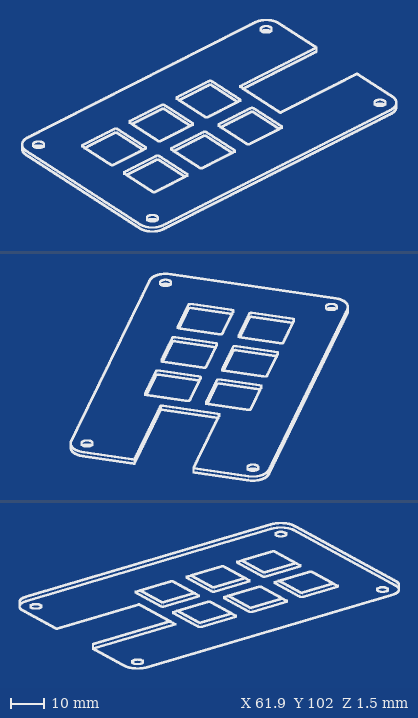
import cadquery as cq

width = 61.9
length = 102.0
thickness = 1.5
corner_radius = 5.0

hole_diameter = 3.4
hole_spacing_x = width - 2 * corner_radius
hole_spacing_y = length - 2 * corner_radius

notch_width = 18.5
notch_depth = 31.0
notch_center_x = 0.6

window_size = 14.0
window_corner_radius = 0.5
window_pitch = 19.1
window_columns = 2
window_rows = 3
grid_center_x = -0.4
grid_center_y = -10.6


def make_plate():
    """Flat plate with rounded corners, resting on Z = 0."""
    plate = cq.Workplane("XY").rect(width, length).extrude(thickness)
    return plate.edges("|Z").fillet(corner_radius)


def make_holes():
    """Through holes near the four corners."""
    return (
        cq.Workplane("XY")
        .rect(hole_spacing_x, hole_spacing_y, forConstruction=True)
        .vertices()
        .circle(hole_diameter / 2)
        .extrude(thickness)
    )


def make_notch():
    """Rectangular cut-out reaching the +Y edge."""
    return (
        cq.Workplane("XY")
        .center(notch_center_x, length / 2 - notch_depth / 2)
        .rect(notch_width, notch_depth)
        .extrude(thickness)
    )


def make_windows():
    """Grid of square through windows with slightly rounded corners."""
    return (
        cq.Workplane("XY")
        .center(grid_center_x, grid_center_y)
        .rarray(window_pitch, window_pitch, window_columns, window_rows)
        .rect(window_size, window_size)
        .extrude(thickness)
        .edges("|Z")
        .fillet(window_corner_radius)
    )


result = make_plate().cut(make_holes()).cut(make_notch()).cut(make_windows())